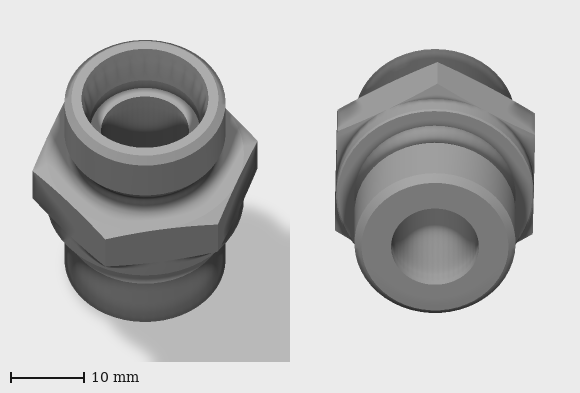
import cadquery as cq
import math

total_height = 36.0
across_flats = 27.0

spigot_radius = 22.0 / 2
end_chamfer = 0.97
lower_spigot_top = 9.32
upper_spigot_bottom = 28.5

flange_bottom = 14.0
hex_bottom = 17.0
hex_top = 24.0
flange_edge_chamfer = 0.2
corner_chamfer_angle = 15.0

groove_radius = 19.7 / 2
groove_slope = 30.0
upper_fillet = 0.9
waist_fillet = 1.2

bore_radius = 12.0 / 2
socket_radius = 15.0 / 2
socket_mouth_radius = 17.3 / 2
socket_half_angle = 12.0
socket_depth = 7.05

flat_radius = across_flats / 2
corner_radius = flat_radius / math.cos(math.radians(30))
groove_depth = spigot_radius - groove_radius
groove_run = groove_depth / math.tan(math.radians(groove_slope))


def revolve_profile(profile):
    """Turn a closed (radius, height) outline around the Z axis."""
    return profile.close().revolve(360, (0, 0, 0), (0, 1, 0))


def make_turned_body():
    """Both spigots, their undercut grooves and the round flange."""
    blend = upper_fillet * math.tan(math.radians(groove_slope / 2))
    blend_radial = blend * math.sin(math.radians(groove_slope))
    blend_axial = blend * math.cos(math.radians(groove_slope))
    sag = upper_fillet * (1 - math.cos(math.radians(groove_slope / 2)))
    mid_axial = upper_fillet * math.sin(math.radians(groove_slope / 2))
    upper_floor_top = upper_spigot_bottom - groove_run
    waist = (lower_spigot_top + flange_bottom) / 2
    waist_sag = waist_fillet * (1 - math.cos(math.radians(groove_slope)))
    waist_reach = waist_fillet * math.sin(math.radians(groove_slope))

    profile = (
        cq.Workplane("XZ")
        .moveTo(0, 0)
        .lineTo(spigot_radius - end_chamfer, 0)
        .lineTo(spigot_radius, end_chamfer)
        .lineTo(spigot_radius, lower_spigot_top)
        .lineTo(groove_radius + waist_sag, waist - waist_reach)
        .threePointArc((groove_radius, waist), (groove_radius + waist_sag, waist + waist_reach))
        .lineTo(spigot_radius, flange_bottom)
        .lineTo(flat_radius - flange_edge_chamfer, flange_bottom)
        .lineTo(flat_radius, flange_bottom + flange_edge_chamfer)
        .lineTo(flat_radius, hex_top)
        .lineTo(groove_radius + upper_fillet, hex_top)
        .radiusArc((groove_radius, hex_top + upper_fillet), upper_fillet)
        .lineTo(groove_radius, upper_floor_top - blend)
        .threePointArc(
            (groove_radius + sag, upper_floor_top - blend + mid_axial),
            (groove_radius + blend_radial, upper_floor_top + blend_axial),
        )
        .lineTo(spigot_radius, upper_spigot_bottom)
        .lineTo(spigot_radius, total_height - end_chamfer)
        .lineTo(spigot_radius - end_chamfer, total_height)
        .lineTo(0, total_height)
    )
    return revolve_profile(profile)


def make_hexagon():
    """Hexagon with its corners chamfered by cones at both faces."""
    drop = (corner_radius - flat_radius) * math.tan(math.radians(corner_chamfer_angle))
    prism = (
        cq.Workplane("XY", origin=(0, 0, hex_bottom))
        .polygon(6, 2 * corner_radius)
        .extrude(hex_top - hex_bottom)
        .rotate((0, 0, 0), (0, 0, 1), 30)
    )
    envelope = (
        cq.Workplane("XZ")
        .moveTo(0, hex_bottom)
        .lineTo(flat_radius, hex_bottom)
        .lineTo(corner_radius, hex_bottom + drop)
        .lineTo(corner_radius, hex_top - drop)
        .lineTo(flat_radius, hex_top)
        .lineTo(0, hex_top)
    )
    return prism.intersect(revolve_profile(envelope))


def make_bore():
    """Through bore opening into a tube socket with a conical mouth."""
    cone_depth = (socket_mouth_radius - socket_radius) / math.tan(math.radians(socket_half_angle))
    socket_floor = total_height - socket_depth
    profile = (
        cq.Workplane("XZ")
        .moveTo(0, 0)
        .lineTo(bore_radius, 0)
        .lineTo(bore_radius, socket_floor)
        .lineTo(socket_radius, socket_floor)
        .lineTo(socket_radius, total_height - cone_depth)
        .lineTo(socket_mouth_radius, total_height)
        .lineTo(0, total_height)
    )
    return revolve_profile(profile)


result = make_turned_body().union(make_hexagon()).cut(make_bore())